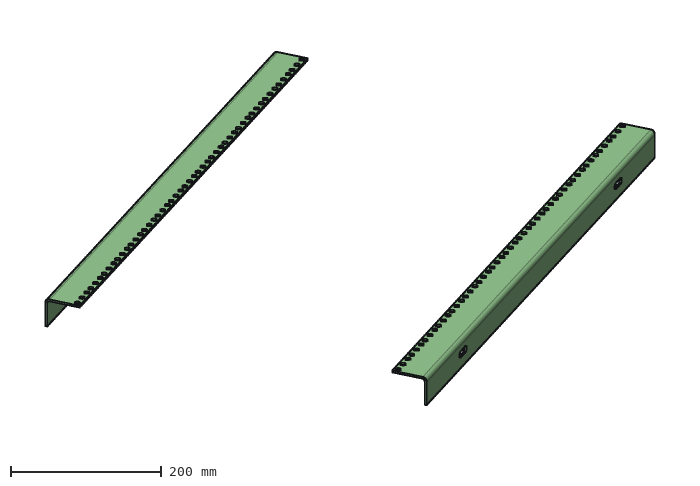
import cadquery as cq

overall_width = 552.5
rail_length = 756.0
rail_height = 41.5

sheet_thickness = 3.0
flange_width = 50.0
bend_radius = 6.0
inner_bend_radius = bend_radius - sheet_thickness

rack_unit_count = 17
holes_per_unit = 3
rack_unit = rail_length / rack_unit_count
hole_diameter = 7.1
hole_pitch = 16.0
hole_edge_distance = 6.0

slot_length = 24.0
slot_width = 9.0
slot_spacing = 514.0

outer_x = -overall_width / 2
inner_x = outer_x + flange_width
hole_x = inner_x - hole_edge_distance
slot_z = rail_height / 2


def make_angle():
    """L-shaped sheet section with a rounded bend, centred along Y."""
    return (
        cq.Workplane("XZ")
        .moveTo(outer_x, 0)
        .lineTo(outer_x, rail_height - bend_radius)
        .radiusArc((outer_x + bend_radius, rail_height), bend_radius)
        .lineTo(inner_x, rail_height)
        .lineTo(inner_x, rail_height - sheet_thickness)
        .lineTo(outer_x + bend_radius, rail_height - sheet_thickness)
        .radiusArc((outer_x + sheet_thickness, rail_height - bend_radius), -inner_bend_radius)
        .lineTo(outer_x + sheet_thickness, 0)
        .close()
        .extrude(rail_length / 2, both=True)
    )


def mounting_hole_points():
    """Hole centres along the free edge of the top flange."""
    points = []
    for unit in range(rack_unit_count):
        unit_center = -rail_length / 2 + (unit + 0.5) * rack_unit
        for hole in range(holes_per_unit):
            offset = (hole - (holes_per_unit - 1) / 2) * hole_pitch
            points.append((hole_x, unit_center + offset))
    return points


def make_mounting_hole_cutter():
    return (
        cq.Workplane("XY")
        .pushPoints(mounting_hole_points())
        .circle(hole_diameter / 2)
        .extrude(rail_height)
    )


def make_slot_cutter():
    """Two lengthwise slots that pass only through the side flange."""
    return (
        cq.Workplane("YZ", origin=(outer_x, 0, 0))
        .pushPoints([(-slot_spacing / 2, slot_z), (slot_spacing / 2, slot_z)])
        .slot2D(slot_length, slot_width)
        .extrude(sheet_thickness)
    )


def make_rail(mirrored):
    """Rail on the -X side, or its mirror image on the +X side."""
    rail = make_angle().cut(make_mounting_hole_cutter()).cut(make_slot_cutter())
    return rail.mirror("YZ") if mirrored else rail


rails = []
for mirrored in (False, True):
    rails.append(make_rail(mirrored))

result = cq.Compound.makeCompound([rail.val() for rail in rails])